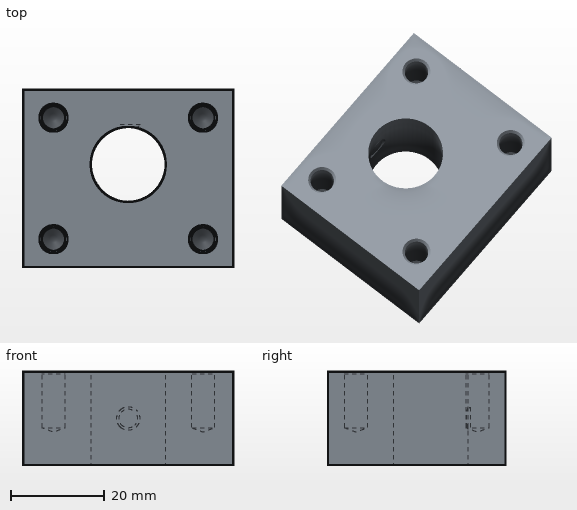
import cadquery as cq
import math

length = 45.0
width = 38.0
height = 20.0

bore_radius = 8.0
bore_y = 3.0

screw_pitch_x = 32.0
screw_pitch_y = 26.0
screw_radius = 2.5
mouth_chamfer = 0.5
screw_depth = 12.0
tip_angle = 140.0

pin_radius = 2.5
pin_chamfer = 0.5
pin_z = height / 2
pin_end_y = bore_y + bore_radius
pin_length = 2 * pin_chamfer


def make_block():
    return cq.Workplane("XY").box(length, width, height, centered=(True, True, False))


def make_bore():
    return cq.Workplane("XY").center(0, bore_y).circle(bore_radius).extrude(height)


def make_screw_hole():
    """Revolved half profile of one screw hole, mouth at Z = 0 and tip downwards."""
    mouth_radius = screw_radius + mouth_chamfer
    tip_length = screw_radius / math.tan(math.radians(tip_angle / 2))
    profile = [
        (0, 0),
        (mouth_radius, 0),
        (screw_radius, -mouth_chamfer),
        (screw_radius, -screw_depth),
        (0, -screw_depth - tip_length),
    ]
    return cq.Workplane("XZ").polyline(profile).close().revolve(360, (0, 0), (0, 1))


def cut_screw_holes(body):
    hole = make_screw_hole()
    for side_x in (-1, 1):
        for side_y in (-1, 1):
            place = (side_x * screw_pitch_x / 2, side_y * screw_pitch_y / 2, height)
            body = body.cut(hole.translate(place))
    return body


def make_pin_groove():
    """Wedge-shaped ring left between the cross hole and the chamfer of the set screw end."""
    start = cq.Workplane("XZ", origin=(0, bore_y, pin_z))
    hole = start.circle(pin_radius).extrude(-(bore_radius + pin_chamfer))
    pin = (
        cq.Workplane("XZ", origin=(0, pin_end_y, pin_z))
        .circle(pin_radius)
        .extrude(-pin_length)
        .faces("<Y")
        .chamfer(pin_chamfer)
    )
    return hole.cut(pin)


body = make_block().cut(make_bore())
body = cut_screw_holes(body)
result = body.cut(make_pin_groove())